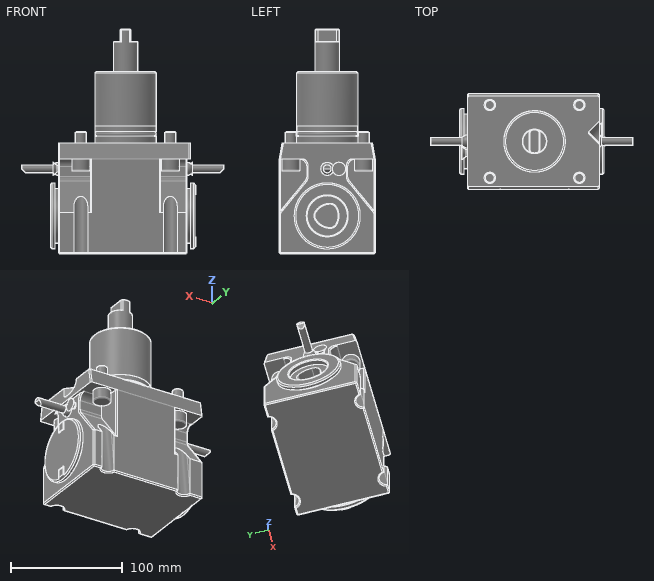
import cadquery as cq
import math


left_face = -60.0
right_face = 55.0
half_depth = 43.0
edge_chamfer = 1.2
column_left = -31.5
column_right = 31.4
plate_right = 58.0
plate_bottom = 84.6
plate_top = 99.0
plate_top_half_depth = 40.5
mid_x = (left_face + right_face) / 2

pocket_wall_y = 18.3
slope_bottom_z = 36.8
slope_top_z = 67.0
slope_blend_radius = 6
pocket_top_radius = 6.5

screw_x = 40.0
screw_y = 32.5
screw_diameter = 10
screw_top = 109.3
screw_chamfer = 1.0
head_diameter = 16
head_bottom = 74.2
head_rounding = 0.6
channel_radius = 6.2
channel_base_y = 43.6
channel_lean = 7
channel_length = 64.3

lower_shank_diameter = 55.0
seal_land_diameter = 54.9
shank_diameter = 55.0
groove_diameter = 50.0
groove_bottom = 105.3
groove_top = 109.3
seal_land_top = 114.2
shank_top = 163.2
shank_chamfer = 1.6
shaft_diameter = 22.0
shaft_top = 189.7
shaft_chamfer = 0.5
tang_width = 9.6
tang_top = 201
tang_chamfer = 0.8
tang_corner_chamfer = 1.5

spindle_z = 34.0
nose_diameter = 59.0
nose_thickness = 4.2
nose_reach = 7.0
nose_chamfer = 1.5
neck_diameter = 49.0
recess_diameter = 36.0
recess_depth = 5.0
recess_chamfer = 0.8
bore_lobe_reach = 11.9
bore_flank_reach = 10.5
bore_lobe_radius = 7.0
bore_taper = 1.4
bore_depth = 30.2
lug_width = 8
lug_height = 0.8
lug_inner_radius = 19.3

nozzle_z = 76.0
ball_radius = 5.8
nozzle_face_reach = 4.6
pipe_diameter = 7.0
pipe_reach = 181 / 2 - (right_face - left_face) / 2
plug_y = 10.5
plug_diameter = 11.9
plug_neck_diameter = 6
plug_cone_start = 1.2

notch_x = 47.6
notch_y = 7.8
notch_radius = 10
notch_length = 40.2
notch_chamfer = 0.8

embed = 2


def cylinder_x(diameter, x_start, x_end, y, z):
    """Cylinder along X between two X positions."""
    plane = cq.Workplane("YZ", origin=(x_start, y, z))
    return plane.circle(diameter / 2).extrude(x_end - x_start)


def mirror_to_right(shape):
    """Turn a left-end piece half a revolution about the vertical mid axis."""
    return shape.rotate((mid_x, 0, 0), (mid_x, 0, 1), 180)


def end_section():
    """Outline of an end block in YZ, waisted by the corner pockets."""
    arc_offset = pocket_top_radius * (1 - math.sqrt(0.5))
    neck_z = plate_bottom - pocket_top_radius
    shoulder_y = pocket_wall_y + pocket_top_radius
    top_z = plate_bottom + embed
    return (
        cq.Workplane("YZ")
        .moveTo(-half_depth, 0)
        .lineTo(half_depth, 0)
        .lineTo(half_depth, slope_bottom_z)
        .lineTo(pocket_wall_y, slope_top_z)
        .lineTo(pocket_wall_y, neck_z)
        .threePointArc((pocket_wall_y + arc_offset, plate_bottom - arc_offset), (shoulder_y, plate_bottom))
        .lineTo(shoulder_y, top_z)
        .lineTo(-shoulder_y, top_z)
        .lineTo(-shoulder_y, plate_bottom)
        .threePointArc((-pocket_wall_y - arc_offset, plate_bottom - arc_offset), (-pocket_wall_y, neck_z))
        .lineTo(-pocket_wall_y, slope_top_z)
        .lineTo(-half_depth, slope_bottom_z)
        .close()
    )


def make_body():
    length = right_face - left_face
    body = end_section().extrude(length).translate((left_face, 0, 0))
    for side in (-1, 1):
        blend_edge = cq.selectors.NearestToPointSelector((mid_x, side * pocket_wall_y, slope_top_z))
        body = body.edges(blend_edge).fillet(slope_blend_radius)
    below_plate = cq.selectors.BoxSelector(
        (left_face - embed, -half_depth - embed, -embed),
        (right_face + embed, half_depth + embed, plate_bottom - edge_chamfer),
    )
    body = body.faces("<X or >X").edges(below_plate).chamfer(edge_chamfer)
    for side_x in (-1, 1):
        for side_y in (-1, 1):
            body = body.cut(wrench_channel(side_x, side_y))

    column = (
        cq.Workplane("XY")
        .box(column_right - column_left, 2 * half_depth, plate_bottom, centered=False)
        .translate((column_left, -half_depth, 0))
        .edges("|Z")
        .chamfer(edge_chamfer)
    )
    lower_column = (
        cq.Workplane("XY")
        .box(column_right - column_left, 2 * half_depth, slope_bottom_z, centered=False)
        .translate((column_left, -half_depth, 0))
    )
    body = body.union(column).union(lower_column)
    return body.faces("<Z").edges("not(<X or >X)").chamfer(edge_chamfer)


def wrench_channel(side_x, side_y):
    """Round-bottomed channel open to the long side, leaning inward towards the screw head."""
    x = side_x * screw_x
    y = side_y * channel_base_y
    round_part = cq.Workplane("XY").center(x, y).circle(channel_radius).extrude(channel_length)
    open_part = (
        cq.Workplane("XY")
        .center(x, y + side_y * half_depth / 2)
        .rect(2 * channel_radius, half_depth)
        .extrude(channel_length)
    )
    channel = round_part.union(open_part).translate((0, 0, -embed))
    return channel.rotate((0, y, 0), (1, y, 0), side_y * channel_lean)


def make_plate():
    plate = (
        cq.Workplane("YZ", origin=(left_face, 0, 0))
        .polyline([
            (-half_depth, plate_bottom),
            (half_depth, plate_bottom),
            (plate_top_half_depth, plate_top),
            (-plate_top_half_depth, plate_top),
        ])
        .close()
        .extrude(plate_right - left_face)
    )
    plate = plate.faces("<X or >X").edges("not |Y").chamfer(edge_chamfer)
    diagonal = math.sqrt(0.5)
    axis_start = (notch_x + notch_radius * diagonal, notch_y - notch_radius * diagonal, plate_top)
    cutter_plane = cq.Plane(origin=axis_start, xDir=(0, 0, 1), normal=(1, 1, 0))
    cutter = cq.Workplane(cutter_plane).circle(notch_radius).extrude(notch_length)
    start_edge = cq.selectors.NearestToPointSelector(axis_start)
    return plate.cut(cutter.faces(start_edge).edges().chamfer(notch_chamfer))


def make_screw(x, y):
    head = (
        cq.Workplane("XY", origin=(x, y, head_bottom))
        .circle(head_diameter / 2)
        .extrude(plate_bottom + embed - head_bottom)
        .faces("<Z")
        .edges()
        .fillet(head_rounding)
    )
    thread = (
        cq.Workplane("XY", origin=(x, y, plate_bottom))
        .circle(screw_diameter / 2)
        .extrude(screw_top - plate_bottom)
        .faces(">Z")
        .edges()
        .chamfer(screw_chamfer)
    )
    return head.union(thread)


def make_shank():
    def stage(diameter, z_start, z_end):
        return cq.Workplane("XY", origin=(0, 0, z_start)).circle(diameter / 2).extrude(z_end - z_start)

    shank = stage(lower_shank_diameter, plate_top - embed, groove_bottom)
    shank = shank.union(stage(groove_diameter, groove_bottom, groove_top))
    shank = shank.union(stage(seal_land_diameter, groove_top, seal_land_top))
    main = stage(shank_diameter, seal_land_top, shank_top).faces(">Z").edges().chamfer(shank_chamfer)
    shaft = stage(shaft_diameter, shank_top, shaft_top).faces(">Z").edges().chamfer(shaft_chamfer)

    ring_radius = (groove_top - groove_bottom) / 2
    ring_center = seal_land_diameter / 2 - ring_radius
    ring = (
        cq.Workplane("XZ")
        .center(ring_center, (groove_bottom + groove_top) / 2)
        .circle(ring_radius)
        .revolve(360, (-ring_center, 0), (-ring_center, 1))
    )

    tang = stage(shaft_diameter, shaft_top - embed, tang_top)
    tang = tang.intersect(cq.Workplane("XY").box(tang_width, shaft_diameter, 2 * tang_top))
    tang = tang.edges("|Z").chamfer(tang_corner_chamfer)
    tang = tang.faces(">Z").edges().chamfer(tang_chamfer)
    return shank.union(ring).union(main).union(shaft).union(tang)


def make_nose(lugs):
    """Spindle nose of the left end without its bore; lugs adds two drive lugs on its face."""
    face = left_face - nose_reach
    proud = lug_height if lugs else 0
    ring = cylinder_x(nose_diameter, face - proud, face + nose_thickness, 0, spindle_z)
    ring = ring.faces("<X").edges().chamfer(nose_chamfer + proud)
    if lugs:
        trim = cylinder_x(nose_diameter, face - proud, face, 0, spindle_z)
        bar = cq.Workplane("XY", origin=(face, 0, spindle_z)).box(2 * proud, lug_width, 2 * nose_diameter)
        center = cylinder_x(2 * lug_inner_radius, face - proud, face, 0, spindle_z)
        ring = ring.cut(trim.cut(bar.cut(center)))
    neck = cylinder_x(neck_diameter, face + nose_thickness, left_face + embed, 0, spindle_z)
    return ring.union(neck)


def lobed_outline(x):
    """Closed outline in YZ of three tight lobe arcs joined by three tangent flank arcs."""
    lobe_center = bore_lobe_reach - bore_lobe_radius
    rise = bore_flank_reach - bore_lobe_radius
    flank_center = (lobe_center**2 - rise**2) / (2 * rise - lobe_center)

    lobe_x = -lobe_center / 2
    lobe_y = lobe_center * math.sqrt(3) / 2
    tangent_angle = math.degrees(math.atan2(lobe_y, lobe_x - flank_center))
    contact_x = lobe_x + bore_lobe_radius * math.cos(math.radians(tangent_angle))
    contact_y = lobe_y + bore_lobe_radius * math.sin(math.radians(tangent_angle))
    contact_radius = math.hypot(contact_x, contact_y)
    flank_half_angle = 180 - math.degrees(math.atan2(contact_y, contact_x))

    def polar(radius, angle):
        return (radius * math.cos(math.radians(angle)), radius * math.sin(math.radians(angle)))

    outline = cq.Workplane("YZ", origin=(x, 0, spindle_z)).moveTo(*polar(contact_radius, flank_half_angle - 60))
    for lobe_angle in (0, 120, 240):
        flank_angle = lobe_angle + 60
        outline = outline.threePointArc(
            polar(bore_lobe_reach, lobe_angle),
            polar(contact_radius, flank_angle - flank_half_angle),
        )
        outline = outline.threePointArc(
            polar(bore_flank_reach, flank_angle),
            polar(contact_radius, flank_angle + flank_half_angle),
        )
    return outline.close()


def make_bore():
    """Stepped tool bore of the left nose: round recess, then a three-lobed socket."""
    face = left_face - nose_reach
    floor = face + recess_depth
    recess = cylinder_x(recess_diameter, face, floor, 0, spindle_z)
    recess = recess.union(
        cylinder_x(recess_diameter + 2 * recess_chamfer, face, face + recess_chamfer, 0, spindle_z)
        .faces(">X")
        .edges()
        .chamfer(recess_chamfer * 0.99)
    )

    socket = lobed_outline(floor).extrude(bore_depth, taper=bore_taper)
    return recess.union(socket)


def make_nozzle():
    """Ball nozzle with a slant-tipped pipe, and the conical plug beside it, at the left end."""
    nozzle_face = left_face - nozzle_face_reach
    ball = cq.Workplane("XY", origin=(left_face, 0, nozzle_z)).sphere(ball_radius)
    ball = ball.intersect(cylinder_x(2 * ball_radius, nozzle_face, left_face + embed, 0, nozzle_z))

    tip = left_face - pipe_reach
    pipe_radius = pipe_diameter / 2
    pipe = cylinder_x(pipe_diameter, tip, left_face, 0, nozzle_z)
    slant = (
        cq.Workplane("XZ")
        .polyline([
            (tip, nozzle_z),
            (tip, nozzle_z - pipe_radius),
            (tip + pipe_radius, nozzle_z - pipe_radius),
        ])
        .close()
        .extrude(pipe_radius, both=True)
    )

    plug = (
        cq.Workplane("XY")
        .polyline([
            (nozzle_face, 0),
            (nozzle_face, plug_diameter / 2),
            (left_face - plug_cone_start, plug_neck_diameter / 2),
            (left_face + embed, plug_neck_diameter / 2),
            (left_face + embed, 0),
        ])
        .close()
        .revolve(360, (0, 0), (1, 0))
        .translate((0, -plug_y, nozzle_z))
    )
    return ball.union(pipe.cut(slant)).union(plug)


nozzle = make_nozzle()

result = make_body().union(make_plate()).union(make_shank())
for x in (-screw_x, screw_x):
    for y in (-screw_y, screw_y):
        result = result.union(make_screw(x, y))
result = result.union(make_nose(lugs=False)).union(mirror_to_right(make_nose(lugs=True)))
result = result.union(nozzle).union(mirror_to_right(nozzle))
result = result.cut(make_bore())